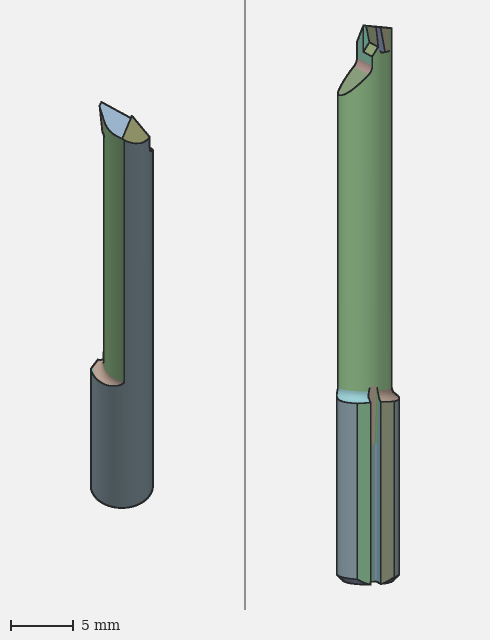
import cadquery as cq
import math

total_length = 45.0
margin = 2.0

shank_radius = 2.5
flat_x = -1.95
shank_length = 14.7
end_chamfer = 0.5

neck_radius = 2.155
neck_left_x = -1.35
neck_axis_x = neck_left_x + neck_radius
neck_fillet = 0.8

slot_width = 0.85
slot_floor_fillet = 0.13
slot_floor_x = -0.8
slot_ramp_start_z = 11.1
slot_ramp_end_z = 15.95

relief_y = 0.1
relief_bottom_z = 41.4
relief_slope = math.radians(47)
relief_blend_radius = 1.0

tip_x = -1.84
tip_bottom_z = 42.8
clearance_angle = math.radians(14.3)
side_clearance = 0.07
tip_flank_angle = math.radians(45)

groove_end_x = 0.86
edge_y = -0.06
groove_low_y = -0.4
groove_low_z = 43.3
groove_bottom_z = 42.55

top_fall_x = 0.12
top_fall_y = 0.15
back_bevel_x = 0.9


def half_space(point, normal):
    """Large block filling the side of a plane that the normal points to."""
    size = 2 * total_length
    plane = cq.Plane(origin=point, normal=normal)
    return cq.Workplane(plane).rect(size, size).extrude(size)


def make_shank_bar():
    """Full-length round bar with a chamfered lower end and the flat."""
    bar = cq.Workplane("XY").circle(shank_radius).extrude(total_length + margin)
    bar = bar.faces("<Z").chamfer(end_chamfer)
    return bar.cut(half_space((flat_x, 0, 0), (-1, 0, 0)))


def make_neck_envelope():
    """Revolved body about the neck axis: wide base, concave fillet, neck."""
    base_radius = 2 * shank_radius
    fillet_center_r = neck_radius + neck_fillet
    fillet_center_z = shank_length + neck_fillet
    arc_mid = neck_fillet * math.sqrt(0.5)
    profile = (
        cq.Workplane("XZ")
        .lineTo(base_radius, 0)
        .lineTo(base_radius, shank_length)
        .lineTo(fillet_center_r, shank_length)
        .threePointArc(
            (fillet_center_r - arc_mid, fillet_center_z - arc_mid),
            (neck_radius, fillet_center_z),
        )
        .lineTo(neck_radius, total_length + margin)
        .lineTo(0, total_length + margin)
        .close()
    )
    return profile.revolve(360, (0, 0), (0, 1)).translate((neck_axis_x, 0, 0))


def make_slot():
    """Slot with rounded floor corners; its floor ramps outward at the upper end."""
    outer_x = flat_x - margin
    ramp_rate = (neck_left_x - slot_floor_x) / (slot_ramp_end_z - slot_ramp_start_z)
    ramp_top_z = slot_ramp_end_z + (outer_x - neck_left_x) / ramp_rate
    outline = [
        (outer_x, -margin),
        (slot_floor_x, -margin),
        (slot_floor_x, slot_ramp_start_z),
        (outer_x, ramp_top_z),
    ]
    slot = cq.Workplane("XZ").polyline(outline).close().extrude(slot_width / 2, both=True)
    straight_corners = slot.edges(">X and |Z")
    ramp_corners = slot.edges("not (|X or |Y or |Z)")
    return straight_corners.add(ramp_corners).fillet(slot_floor_fillet)


def make_tip_block():
    """Wedge joining the neck tangentially and reaching out to the cutting edge."""
    tangent_x = neck_axis_x - neck_radius * math.sin(tip_flank_angle)
    tangent_y = -neck_radius * math.cos(tip_flank_angle)
    outer_x = tip_x - margin
    outer_y = tangent_y + (tangent_x - outer_x) * math.tan(tip_flank_angle)
    outline = [
        (tangent_x, tangent_y),
        (outer_x, outer_y),
        (neck_axis_x, outer_y),
    ]
    block = (
        cq.Workplane("XY", origin=(0, 0, tip_bottom_z))
        .polyline(outline)
        .close()
        .extrude(total_length + margin - tip_bottom_z)
    )
    flank_normal = (-1, -side_clearance, -math.tan(clearance_angle))
    return block.cut(half_space((tip_x, 0, total_length), flank_normal))


def make_relief():
    """Cutter for the +Y half of the head: upright face blended into a slope."""
    far_y = shank_radius + margin
    slope_low_z = relief_bottom_z - (far_y - relief_y) * math.tan(relief_slope)
    top_z = total_length + 2 * margin
    outline = [
        (relief_y, relief_bottom_z),
        (far_y, slope_low_z),
        (far_y, top_z),
        (relief_y, top_z),
    ]
    cutter = cq.Workplane("YZ").polyline(outline).close().extrude(2 * shank_radius, both=True)
    corner = cq.selectors.NearestToPointSelector((0, relief_y, relief_bottom_z))
    return cutter.edges("|X").edges(corner).fillet(relief_blend_radius)


def make_chip_groove():
    """Groove that undercuts the cutting edge and runs out at the relief face."""
    rake_rate = (edge_y - groove_low_y) / (total_length - groove_low_z)
    top_z = total_length + margin
    outline = [
        (edge_y + margin * rake_rate, top_z),
        (groove_low_y, groove_low_z),
        (relief_y, groove_bottom_z),
        (relief_y + margin, groove_bottom_z),
        (relief_y + margin, top_z),
    ]
    start_x = tip_x - margin
    return (
        cq.Workplane("YZ", origin=(start_x, 0, 0))
        .polyline(outline)
        .close()
        .extrude(groove_end_x - start_x)
    )


def trim_top(body):
    """Cut the sloping end face and the 45 degree bevel behind it."""
    end_face = half_space((tip_x, edge_y, total_length), (top_fall_x, -top_fall_y, 1))
    bevel_z = total_length - top_fall_x * (back_bevel_x - tip_x)
    back_bevel = half_space((back_bevel_x, 0, bevel_z), (1, 0, 1))
    return body.cut(end_face).cut(back_bevel)


body = make_shank_bar().intersect(make_neck_envelope())
body = body.cut(make_slot())
body = body.union(make_tip_block())
body = body.cut(make_relief())
body = body.cut(make_chip_groove())
result = trim_top(body)